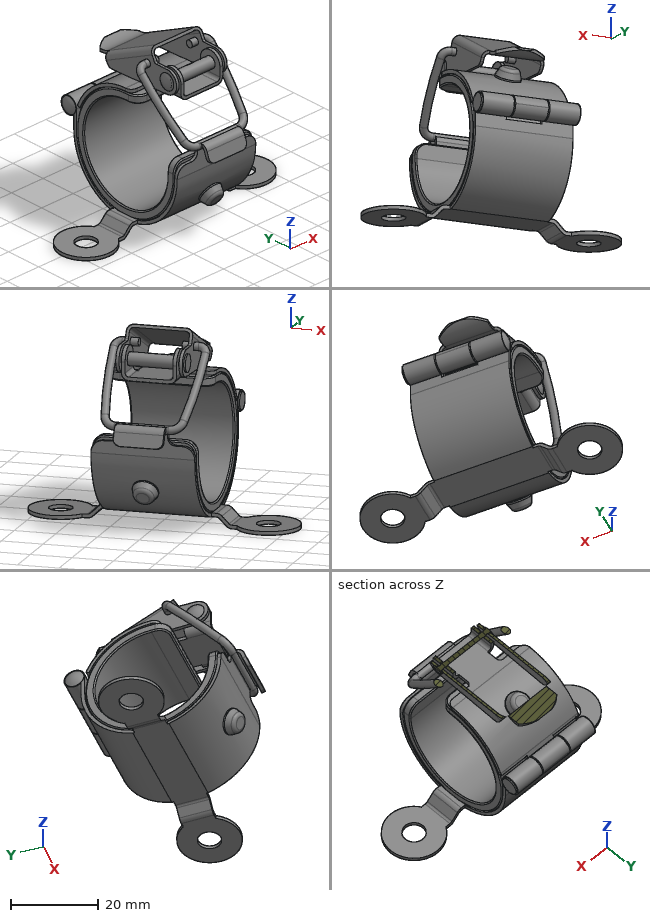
import cadquery as cq
import math

overall_length = 64.95
clamp_width = 24.95
half_width = clamp_width / 2
metal = 0.9
strap_inner_radius = 16.3
strap_outer_radius = strap_inner_radius + metal

liner_inner_radius = 13.9
liner_outer_radius = 16.2
liner_end_length = 3.95
liner_end_corner = 3.0
liner_edge_chamfer = 0.3
stud_angles = (-150, 60)
stud_shank_radius = 1.55
stud_base_radius = 3.1
stud_rim = 0.4
stud_shoulder_radius = 2.55
stud_shoulder_height = 1.9
stud_nose_radius = 2.3
stud_nose_height = 2.35
stud_tip_radius = 1.55
stud_height = 2.65

foot_top = -15.7
foot_step = 2.55
foot_step_start = 14.4
foot_slope = 45
foot_bend_radius = 1.0
foot_half_width = 4.0
foot_pad_radius = 7.55
foot_hole_radius = 2.8
foot_pad_x = overall_length / 2 - foot_pad_radius

front_edge_height = 3.0
front_edge_corner = 2.9
hook_half_width = 6.0
hook_root_fillet = 1.95
hook_outer_radius = 2.1
hook_inner_radius = hook_outer_radius - metal
hook_top = 7.55
hook_tongue_angle = 19
hook_tongue_length = 3.25
hook_tongue_corner = 1.7

barrel_radius = 2.55
hinge_y = strap_inner_radius + barrel_radius
hinge_z = 5.3
hinge_hole_radius = 1.6
middle_knuckle_half = 4.2
outer_knuckle_start = 4.55
knuckle_clearance = 0.25
hinge_head_radius = 2.35
hinge_head_height = 0.8
hinge_tail_radius = 2.2
hinge_tail_height = 0.4

upper_back_angle = 24
upper_leaf_length = 0.65
knuckle_leaf_length = 1.95
upper_edge_length = 1.9
upper_edge_corner = 1.8
neck_half_width = 4.7
neck_root_fillet = 1.0
bracket_half_width = 6.6
bracket_bend_radius = 1.8

pin_y = -9.1
pin_z = 20.7
lever_pin_radius = 1.6
ear_radius = 3.25
lever_half_width = 8.0
lever_metal = 0.8
lever_tilt = 26
lever_peak_y = -3.4
lever_peak_z = 27.5
lever_top_length = 17.0
lever_front_fillet = 0.65
lever_back_y = 10.1
lever_back_z = 16.8
lever_back_fillet = 1.6
lever_bend_radius = 1.8
handle_half_width = lever_half_width - lever_bend_radius
handle_root = 16.35
handle_start = 17.5
handle_radius = 5.2
handle_tip_angle = 31
handle_side_end = 15.1
handle_tip = 17.65
lever_head_radius = 2.3
lever_head_height = 0.65
lever_tail_radius = 2.15
lever_tail_height = 0.4

wire_radius = 1.0
bail_top_y = -2.65
bail_top_z = 23.1
bail_bottom_y = -17.65
bail_bottom_z = 6.75
bail_end_x = 5.25
bail_half_width = 11.0
bail_leg_turn = 10
bail_top_bend = 1.8
bail_bottom_bend = 3.0


def on_circle(radius, angle):
    """YZ point on a circle about the clamp axis; angle in degrees from +Y towards +Z."""
    turn = math.radians(angle)
    return (radius * math.cos(turn), radius * math.sin(turn))


def block(x0, x1, y0, y1, z0, z1):
    """Box between two opposite corners."""
    return cq.Workplane("XY").box(x1 - x0, y1 - y0, z1 - z0, centered=False).translate((x0, y0, z0))


def x_cylinder(x0, x1, y, z, radius):
    """Cylinder along X."""
    return cq.Workplane("YZ", origin=(x0, y, z)).circle(radius).extrude(x1 - x0)


def profile():
    """Sketch in the YZ plane, for shapes extruded evenly to both sides."""
    return cq.Workplane("YZ")


def round_edge(body, middle, radius):
    """Fillet the edge whose middle lies at the given point."""
    return body.edges(cq.selectors.NearestToPointSelector(middle)).fillet(radius)


def round_pair(body, x, y, z, radius):
    """Fillet two edges that mirror each other across the YZ plane."""
    for side in (1, -1):
        body = round_edge(body, (side * x, y, z), radius)
    return body


def dome(x, outward, y, z, radius, height):
    """Spherical cap on the plane at x, bulging towards outward (+1 or -1)."""
    cap = (
        cq.Workplane("XY")
        .moveTo(0, 0)
        .lineTo(0, radius)
        .radiusArc((outward * height, 0), outward * (radius ** 2 + height ** 2) / (2 * height))
        .close()
        .revolve(360, (0, 0, 0), (1, 0, 0))
    )
    return cap.translate((x, y, z))


def stud(angle):
    """Button on the liner whose shank passes through the strap."""
    root = (liner_inner_radius + liner_outer_radius) / 2
    seat = strap_outer_radius
    shape = (
        cq.Workplane("XZ")
        .moveTo(0, root)
        .lineTo(stud_shank_radius, root)
        .lineTo(stud_shank_radius, seat)
        .lineTo(stud_base_radius, seat)
        .lineTo(stud_base_radius, seat + stud_rim)
        .lineTo(stud_shoulder_radius, seat + stud_shoulder_height)
        .threePointArc((stud_nose_radius, seat + stud_nose_height), (stud_tip_radius, seat + stud_height))
        .lineTo(0, seat + stud_height)
        .close()
        .revolve(360, (0, 0, 0), (0, 1, 0))
    )
    return shape.rotate((0, 0, 0), (1, 0, 0), angle - 90)


def make_liner():
    """C-shaped liner with straight rounded ends, a flat bottom and two studs."""
    r_in, r_out, end = liner_inner_radius, liner_outer_radius, liner_end_length
    ring = (
        profile()
        .moveTo(-end, r_out)
        .lineTo(0, r_out)
        .threePointArc(on_circle(r_out, -45), (-r_out, 0))
        .lineTo(-r_out, end)
        .lineTo(-r_in, end)
        .lineTo(-r_in, 0)
        .threePointArc(on_circle(r_in, -45), (0, r_in))
        .lineTo(-end, r_in)
        .close()
        .extrude(half_width, both=True)
    )
    r_middle = (r_in + r_out) / 2
    ring = round_pair(ring, half_width, -end, r_middle, liner_end_corner)
    ring = round_pair(ring, half_width, -r_middle, end, liner_end_corner)
    ring = ring.faces("<X or >X").edges().chamfer(liner_edge_chamfer)
    ring = ring.cut(block(-half_width, half_width, -r_out, r_out, -r_out, foot_top))
    for angle in stud_angles:
        ring = ring.union(stud(angle))
    return ring


def lower_wall():
    """Half ring with a flattened bottom, a short front wall and a back hinge leaf."""
    r_in, r_out = strap_inner_radius, strap_outer_radius
    foot_bottom = foot_top - metal
    flat_in = math.sqrt(r_in ** 2 - foot_top ** 2)
    flat_out = math.sqrt(r_out ** 2 - foot_bottom ** 2)
    wall = (
        profile()
        .moveTo(-r_in, front_edge_height)
        .lineTo(-r_in, 0)
        .threePointArc(on_circle(r_in, -145), (-flat_in, foot_top))
        .lineTo(flat_in, foot_top)
        .threePointArc(on_circle(r_in, -35), (r_in, 0))
        .lineTo(r_in, hinge_z)
        .lineTo(r_out, hinge_z)
        .lineTo(r_out, 0)
        .threePointArc(on_circle(r_out, -35), (flat_out, foot_bottom))
        .lineTo(-flat_out, foot_bottom)
        .threePointArc(on_circle(r_out, -145), (-r_out, 0))
        .lineTo(-r_out, front_edge_height)
        .close()
        .extrude(half_width, both=True)
    )
    return round_pair(wall, half_width, -(r_in + r_out) / 2, front_edge_height, front_edge_corner)


def hook():
    """Front wall carried up, arched outwards and turned down into a tongue."""
    r_in, r_out = strap_inner_radius, strap_outer_radius
    center_y = -r_in - hook_outer_radius
    center_z = hook_top - hook_outer_radius
    lean = math.radians(hook_tongue_angle)
    tongue_start = 180 - hook_tongue_angle

    def arch(radius, angle):
        y, z = on_circle(radius, angle)
        return (center_y + y, center_z + z)

    def tongue_end(radius):
        y, z = arch(radius, tongue_start)
        return (y - hook_tongue_length * math.sin(lean), z - hook_tongue_length * math.cos(lean))

    strip = (
        profile()
        .moveTo(-r_in, 0)
        .lineTo(-r_in, center_z)
        .threePointArc(arch(hook_outer_radius, 90), arch(hook_outer_radius, tongue_start))
        .lineTo(*tongue_end(hook_outer_radius))
        .lineTo(*tongue_end(hook_inner_radius))
        .lineTo(*arch(hook_inner_radius, tongue_start))
        .threePointArc(arch(hook_inner_radius, 90), arch(hook_inner_radius, 0))
        .lineTo(-r_out, 0)
        .close()
        .extrude(hook_half_width, both=True)
    )
    tip_y, tip_z = tongue_end((hook_outer_radius + hook_inner_radius) / 2)
    return round_pair(strip, hook_half_width, tip_y, tip_z, hook_tongue_corner)


def foot(side):
    """Stepped mounting foot with a round pad and a hole; side is +1 or -1."""
    step_end = foot_step_start + foot_step
    pad_top = foot_top - foot_step
    knee_shift = metal * math.tan(math.radians(foot_slope / 2))
    strip = (
        cq.Workplane("XZ")
        .moveTo(0, foot_top)
        .lineTo(foot_step_start, foot_top)
        .lineTo(step_end, pad_top)
        .lineTo(foot_pad_x, pad_top)
        .lineTo(foot_pad_x, pad_top - metal)
        .lineTo(step_end - knee_shift, pad_top - metal)
        .lineTo(foot_step_start - knee_shift, foot_top - metal)
        .lineTo(0, foot_top - metal)
        .close()
        .extrude(foot_half_width, both=True)
    )
    outside = foot_bend_radius + metal
    for knee_x, knee_z, radius in (
        (foot_step_start, foot_top, outside),
        (foot_step_start - knee_shift, foot_top - metal, foot_bend_radius),
        (step_end, pad_top, foot_bend_radius),
        (step_end - knee_shift, pad_top - metal, outside),
    ):
        strip = round_edge(strip, (knee_x, 0, knee_z), radius)
    pad = cq.Workplane("XY", origin=(foot_pad_x, 0, pad_top)).circle(foot_pad_radius).extrude(-metal)
    hole = cq.Workplane("XY", origin=(foot_pad_x, 0, pad_top)).circle(foot_hole_radius).extrude(-metal)
    plate = strip.union(pad).cut(hole)
    return plate if side > 0 else plate.mirror("YZ")


def make_lower_strap():
    """Lower strap with hook, feet and the two outer hinge knuckles."""
    strap = lower_wall().union(hook())
    wall_middle = strap_inner_radius + metal / 2
    strap = round_pair(strap, hook_half_width, -wall_middle, front_edge_height, hook_root_fillet)
    for side in (1, -1):
        strap = strap.union(foot(side))
    notch_floor = hinge_z - barrel_radius - knuckle_clearance
    strap = strap.cut(
        block(-outer_knuckle_start, outer_knuckle_start, 0, strap_outer_radius, notch_floor, hinge_z)
    )
    for start, end in ((-half_width, -outer_knuckle_start), (outer_knuckle_start, half_width)):
        strap = strap.union(x_cylinder(start, end, hinge_y, hinge_z, barrel_radius))
    strap = strap.cut(x_cylinder(-half_width, half_width, hinge_y, hinge_z, hinge_hole_radius))
    return strap.cut(stud(stud_angles[0]))


def leaf_end(radius, length):
    """Point reached by running straight on from the back end of the arc."""
    y, z = on_circle(radius, upper_back_angle)
    run_y, run_z = on_circle(length, upper_back_angle - 90)
    return (y + run_y, z + run_z)


def upper_wall():
    """Arc over the liner with a rounded flat in front and a straight leaf behind."""
    r_in, r_out, edge = strap_inner_radius, strap_outer_radius, upper_edge_length
    middle_angle = (upper_back_angle + 90) / 2
    wall = (
        profile()
        .moveTo(*leaf_end(r_in, upper_leaf_length))
        .lineTo(*on_circle(r_in, upper_back_angle))
        .threePointArc(on_circle(r_in, middle_angle), (0, r_in))
        .lineTo(-edge, r_in)
        .lineTo(-edge, r_out)
        .lineTo(0, r_out)
        .threePointArc(on_circle(r_out, middle_angle), on_circle(r_out, upper_back_angle))
        .lineTo(*leaf_end(r_out, upper_leaf_length))
        .close()
        .extrude(half_width, both=True)
    )
    return round_pair(wall, half_width, -edge, (r_in + r_out) / 2, upper_edge_corner)


def middle_knuckle():
    """Leaf and barrel between the two outer hinge knuckles."""
    leaf = (
        profile()
        .moveTo(*on_circle(strap_inner_radius, upper_back_angle))
        .lineTo(*leaf_end(strap_inner_radius, knuckle_leaf_length))
        .lineTo(*leaf_end(strap_outer_radius, knuckle_leaf_length))
        .lineTo(*on_circle(strap_outer_radius, upper_back_angle))
        .close()
        .extrude(middle_knuckle_half, both=True)
    )
    reach = middle_knuckle_half
    return leaf.union(x_cylinder(-reach, reach, hinge_y, hinge_z, barrel_radius))


def bracket():
    """U-shaped bracket whose two round-topped ears carry the lever pin."""
    base = strap_inner_radius
    back = pin_y + ear_radius
    front = pin_y - ear_radius
    top = pin_z + ear_radius
    inside = bracket_half_width - metal
    shape = block(-bracket_half_width, bracket_half_width, front, back, base, top)
    shape = shape.faces("<Z").edges("|Y").fillet(bracket_bend_radius)
    hollow = block(-inside, inside, front, back, base + metal, top)
    hollow = hollow.faces("<Z").edges("|Y").fillet(bracket_bend_radius - metal)
    ear_outline = (
        profile()
        .moveTo(front, base)
        .lineTo(front, pin_z)
        .threePointArc((pin_y, top), (back, pin_z))
        .lineTo(back, base)
        .close()
        .extrude(bracket_half_width, both=True)
    )
    return shape.cut(hollow).intersect(ear_outline)


def make_upper_strap():
    """Upper strap with the middle hinge knuckle and the lever bracket."""
    edge = -upper_edge_length
    neck = block(
        -neck_half_width, neck_half_width, pin_y + ear_radius, edge, strap_inner_radius, strap_outer_radius
    )
    strap = upper_wall().union(neck)
    wall_middle = strap_inner_radius + metal / 2
    strap = round_pair(strap, neck_half_width, edge, wall_middle, neck_root_fillet)
    strap = strap.union(bracket()).union(middle_knuckle())
    reach = bracket_half_width
    strap = strap.cut(x_cylinder(-reach, reach, hinge_y, hinge_z, hinge_hole_radius))
    strap = strap.cut(x_cylinder(-reach, reach, pin_y, pin_z, lever_pin_radius))
    return strap.cut(stud(stud_angles[1]))


def headed_pin(half_length, y, z, shank, head, tail):
    """Pin along X with a domed head at -X and a flat tail at +X, each a (radius, height) pair."""
    body = x_cylinder(-half_length, half_length, y, z, shank)
    body = body.union(dome(-half_length, -1, y, z, *head))
    return body.union(x_cylinder(half_length, half_length + tail[1], y, z, tail[0]))


def tilted(along, above):
    """YZ point measured along the sloping lever top and square to it, from its peak."""
    turn = math.radians(lever_tilt)
    return (
        lever_peak_y + along * math.cos(turn) + above * math.sin(turn),
        lever_peak_z - along * math.sin(turn) + above * math.cos(turn),
    )


def lever_channel():
    """Channel with a sloping top and two side plates that end round the pin."""
    bottom = pin_z - ear_radius
    shoulder = pin_z + ear_radius
    front_depth = (lever_peak_z - shoulder) / math.cos(math.radians(lever_tilt))
    diagonal = ear_radius * math.sqrt(0.5)
    shell = (
        profile()
        .moveTo(*tilted(0, 0))
        .lineTo(*tilted(lever_top_length, 0))
        .lineTo(*tilted(lever_top_length, -lever_bend_radius))
        .lineTo(lever_back_y, lever_back_z)
        .lineTo(pin_y, bottom)
        .threePointArc((pin_y - diagonal, pin_z - diagonal), (pin_y - ear_radius, pin_z))
        .threePointArc((pin_y - diagonal, pin_z + diagonal), (pin_y, shoulder))
        .lineTo(*tilted(0, -front_depth))
        .close()
        .extrude(lever_half_width, both=True)
    )
    notch_y, notch_z = tilted(0, -front_depth)
    shell = round_edge(shell, (0, notch_y, notch_z), lever_front_fillet)
    shell = round_edge(shell, (0, lever_back_y, lever_back_z), lever_back_fillet)
    ridge_y, ridge_z = tilted(lever_top_length / 2, 0)
    shell = round_pair(shell, lever_half_width, ridge_y, ridge_z, lever_bend_radius)

    inside = lever_half_width - lever_metal
    beyond = 2 * lever_top_length
    hollow = (
        profile()
        .polyline([
            tilted(-beyond, -lever_metal),
            tilted(beyond, -lever_metal),
            tilted(beyond, -beyond),
            tilted(-beyond, -beyond),
        ])
        .close()
        .extrude(inside, both=True)
    )
    roof_y, roof_z = tilted(0, -lever_metal)
    hollow = round_pair(hollow, inside, roof_y, roof_z, lever_bend_radius - lever_metal)
    return shell.cut(hollow)


def handle():
    """Curved thumb tab that continues the lever top."""
    upper = handle_radius
    lower = handle_radius + lever_metal
    center_y, center_z = tilted(handle_start, upper)

    def curl(radius, angle):
        y, z = on_circle(radius, angle - 90)
        return (center_y + y, center_z + z)

    tab = (
        profile()
        .moveTo(*tilted(handle_root, 0))
        .lineTo(*tilted(handle_start, 0))
        .threePointArc(curl(upper, 0), curl(upper, handle_tip_angle))
        .lineTo(*curl(lower, handle_tip_angle))
        .threePointArc(curl(lower, 0), tilted(handle_start, -lever_metal))
        .lineTo(*tilted(handle_root, -lever_metal))
        .close()
        .extrude(handle_half_width, both=True)
    )
    plan = (
        cq.Workplane("XY")
        .moveTo(-handle_half_width, 0)
        .lineTo(-handle_half_width, handle_side_end)
        .threePointArc((0, handle_tip), (handle_half_width, handle_side_end))
        .lineTo(handle_half_width, 0)
        .close()
        .extrude(lever_peak_z)
    )
    return tab.intersect(plan)


def make_lever():
    """Lever with its handle and the holes for the pin and the bail ends."""
    lever = lever_channel().union(handle())
    lever = lever.cut(upper_wall()).cut(stud(stud_angles[1]))
    lever = lever.cut(x_cylinder(-half_width, half_width, pin_y, pin_z, lever_pin_radius))
    return lever.cut(x_cylinder(-half_width, half_width, bail_top_y, bail_top_z, wire_radius))


def make_bail():
    """Bent wire loop: two inward ends, two bowed legs and a straight run under the hook."""
    drop_y = bail_bottom_y - bail_top_y
    drop_z = bail_bottom_z - bail_top_z
    length = math.hypot(drop_y, drop_z)
    plane = cq.Plane(
        origin=(0, bail_top_y, bail_top_z), xDir=(1, 0, 0), normal=(0, -drop_z / length, drop_y / length)
    )
    turn = math.radians(bail_leg_turn)
    leg_drop = length - bail_top_bend - bail_bottom_bend * (1 - math.sin(turn))
    bow_radius = leg_drop / math.sin(turn)
    leg_bottom_x = bail_half_width - bow_radius * (1 - math.cos(turn))

    top_run = bail_half_width - bail_top_bend
    leg_top = (bail_half_width, bail_top_bend)
    leg_bottom = (leg_bottom_x, bail_top_bend + leg_drop)
    bottom_run = leg_bottom_x - bail_bottom_bend * math.cos(turn)
    path = (
        cq.Workplane(plane)
        .moveTo(-bail_end_x, 0)
        .lineTo(-top_run, 0)
        .tangentArcPoint((-leg_top[0], leg_top[1]), relative=False)
        .tangentArcPoint((-leg_bottom[0], leg_bottom[1]), relative=False)
        .tangentArcPoint((-bottom_run, length), relative=False)
        .lineTo(bottom_run, length)
        .tangentArcPoint(leg_bottom, relative=False)
        .tangentArcPoint(leg_top, relative=False)
        .tangentArcPoint((top_run, 0), relative=False)
        .lineTo(bail_end_x, 0)
    )
    section = cq.Workplane("YZ", origin=(-bail_end_x, bail_top_y, bail_top_z)).circle(wire_radius)
    return section.sweep(path).cut(hook())


liner = make_liner()
lower_strap = make_lower_strap()
upper_strap = make_upper_strap()
hinge_pin = headed_pin(
    half_width,
    hinge_y,
    hinge_z,
    hinge_hole_radius,
    (hinge_head_radius, hinge_head_height),
    (hinge_tail_radius, hinge_tail_height),
)
lever_pin = headed_pin(
    lever_half_width,
    pin_y,
    pin_z,
    lever_pin_radius,
    (lever_head_radius, lever_head_height),
    (lever_tail_radius, lever_tail_height),
)
lever = make_lever()
bail = make_bail()

result = cq.Compound.makeCompound([
    liner.val(),
    lower_strap.val(),
    upper_strap.val(),
    hinge_pin.val(),
    lever.val(),
    lever_pin.val(),
    bail.val(),
])